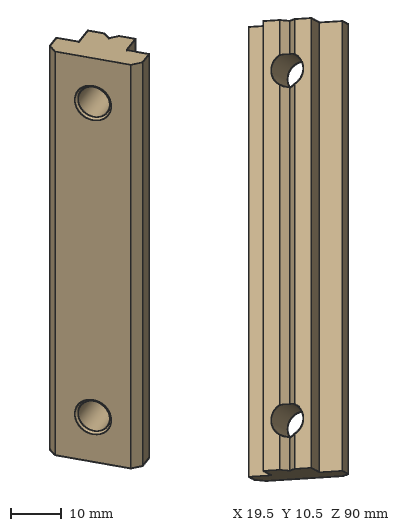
import cadquery as cq

length = 90.0
base_width = 19.5
base_thickness = 5.5
base_chamfer = 1.8
stem_width = 10.0
stem_height = 5.0

groove_depth = 1.55
groove_half_width = groove_depth

hole_diameter = 6.65
countersink_diameter = 7.65
hole_end_distance = 10.0

total_depth = base_thickness + stem_height
base_half_width = base_width / 2
stem_half_width = stem_width / 2


def make_bar():
    """Extruded T profile, with its base face at Y = 0 and its lower end at Z = 0."""
    right_half = [
        (base_half_width - base_chamfer, 0),
        (base_half_width, base_chamfer),
        (base_half_width, base_thickness),
        (stem_half_width, base_thickness),
        (stem_half_width, total_depth),
        (groove_half_width, total_depth),
    ]
    groove_bottom = (0, total_depth - groove_depth)
    left_half = [(-x, y) for x, y in reversed(right_half)]
    outline = right_half + [groove_bottom] + left_half
    return cq.Workplane("XY").polyline(outline).close().extrude(length)


def make_hole_cutter(z):
    """Through hole with a conical mouth, revolved about its axis parallel to Y."""
    hole_radius = hole_diameter / 2
    mouth_radius = countersink_diameter / 2
    countersink_depth = mouth_radius - hole_radius
    half_section = [
        (0, 0),
        (mouth_radius, 0),
        (hole_radius, countersink_depth),
        (hole_radius, total_depth),
        (0, total_depth),
    ]
    cutter = cq.Workplane("XY").polyline(half_section).close().revolve(360, (0, 0), (0, 1))
    return cutter.translate((0, 0, z))


result = make_bar()
for hole_z in (hole_end_distance, length - hole_end_distance):
    result = result.cut(make_hole_cutter(hole_z))